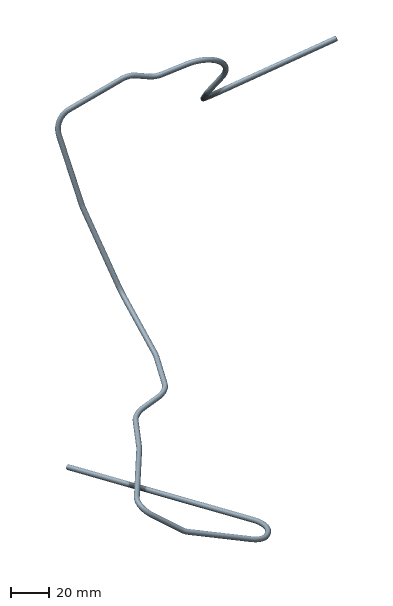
import cadquery as cq
import math

ROD_DIAMETER = 3.0

START = (0, 0, 0)
END = (-5.0, 246.2, 156.0)

BENDS = [
    ((132.2, 0.0, 0.0), 19.0),
    ((139.5, -19.0, 0.0), 11.0),
    ((112.0, -51.0, 9.5), 9.5),
    ((93.5, -68.3, 24.5), 9.5),
    ((59.5, -18.8, 32.3), 12.5),
    ((41.7, 2.0, 39.8), 10.0),
    ((49.2, 20.0, 48.5), 9.0),
    ((27.3, 40.7, 56.0), 9.0),
    ((-7.8, 58.5, 76.7), 11.5),
    ((-33.8, 59.8, 118.5), 8.5),
    ((-52.3, 59.8, 163.5), 12.0),
    ((-23.5, 86.8, 186.0), 9.7),
    ((-15.5, 99.3, 182.5), 9.5),
    ((31.3, 130.5, 208.3), 15.7),
    ((-7.2, 134.5, 163.8), 7.8),
    ((-59.2, 202.0, 123.0), 12.0),
]


def bend_arc(before, corner, after, radius):
    """Start, middle and end of the arc tangent to both straights at a corner."""
    to_before = (before - corner).normalized()
    to_after = (after - corner).normalized()
    half_angle = to_before.getAngle(to_after) / 2
    setback = radius / math.tan(half_angle)
    mid_distance = radius / math.sin(half_angle) - radius
    middle = corner + (to_before + to_after).normalized() * mid_distance
    return corner + to_before * setback, middle, corner + to_after * setback


def centreline():
    """Straights joined by tangent arcs, from START to END."""
    corners = [cq.Vector(*point) for point in [START, *(corner for corner, _ in BENDS), END]]
    edges = []
    position = corners[0]
    for index, (_, radius) in enumerate(BENDS, start=1):
        arc_start, arc_middle, arc_end = bend_arc(*corners[index - 1:index + 2], radius)
        edges.append(cq.Edge.makeLine(position, arc_start))
        edges.append(cq.Edge.makeThreePointArc(arc_start, arc_middle, arc_end))
        position = arc_end
    edges.append(cq.Edge.makeLine(position, corners[-1]))
    return cq.Wire.assembleEdges(edges)


result = cq.Workplane("YZ").circle(ROD_DIAMETER / 2).sweep(cq.Workplane(centreline()))